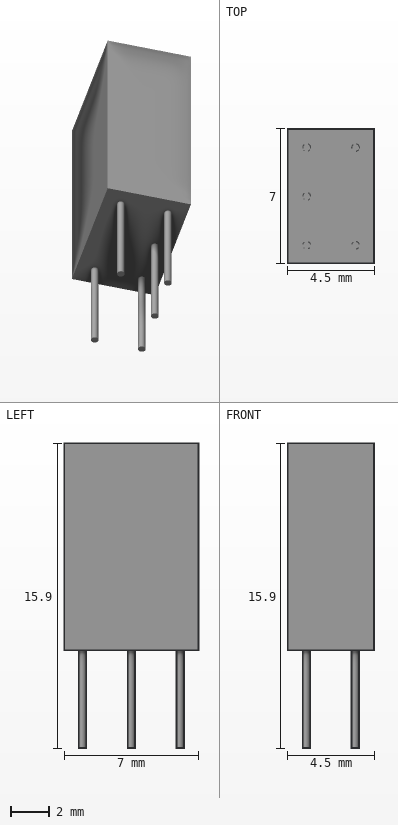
import cadquery as cq

HOUSING_WIDTH = 4.5
HOUSING_DEPTH = 7.0
TOTAL_HEIGHT = 15.9
PIN_LENGTH = 5.1
HOUSING_HEIGHT = TOTAL_HEIGHT - PIN_LENGTH

PIN_DIAMETER = 0.4
PIN_PITCH = 2.55
PIN_X = PIN_PITCH / 2
PIN_PLACES = [
    (-PIN_X, -PIN_PITCH),
    (-PIN_X, 0),
    (-PIN_X, PIN_PITCH),
    (PIN_X, -PIN_PITCH),
    (PIN_X, PIN_PITCH),
]


def make_housing():
    """Plain block with its underside at Z = 0."""
    return cq.Workplane("XY").box(
        HOUSING_WIDTH, HOUSING_DEPTH, HOUSING_HEIGHT, centered=(True, True, False)
    )


def make_pin(x, y):
    """Round pin hanging down from the underside of the housing."""
    return cq.Workplane("XY").center(x, y).circle(PIN_DIAMETER / 2).extrude(-PIN_LENGTH)


housing = make_housing()
pins = [make_pin(x, y) for x, y in PIN_PLACES]

result = cq.Compound.makeCompound([housing.val(), *[pin.val() for pin in pins]])